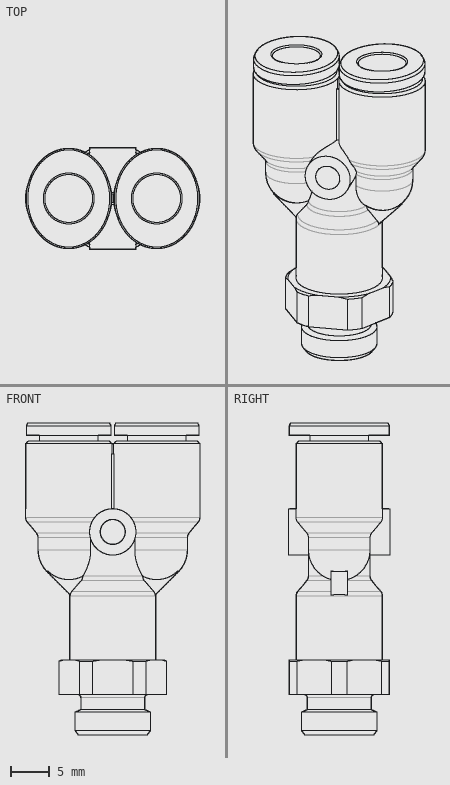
import cadquery as cq
import math


TOTAL_HEIGHT = 40.45
HEX_BOTTOM = 5.25
HEX_HEIGHT = 4.5
STEM_SHOULDER_START = 18.05
SPHERE_CENTRE_Z = 24.0
SOCKET_SHOULDER_START = 25.6
WEB_TOP = 36.4
SOCKET_TOP = 38.1
BOSS_Z = 26.32

BODY_RADIUS = 5.6
COLUMN_RADIUS = 4.0
THREAD_RADIUS = 4.9
THREAD_END_CHAMFER_WIDTH = 0.45
THREAD_END_CHAMFER_HEIGHT = 0.6
THREAD_TOP_CONE_HEIGHT = 0.36
THREAD_LENGTH = 3.33
RELIEF_RADIUS = 4.15
RELIEF_FILLET = 0.4

HEX_ACROSS_FLATS = 13.0
HEX_CORNER_RADIUS = 7.0
HEX_CHAMFER_WIDTH = 0.35
HEX_CHAMFER_HEIGHT = 0.2

SHOULDER_ANGLE = math.radians(40)
SHOULDER_BLEND = 0.9

OVERALL_WIDTH = 22.6
SOCKET_OFFSET = OVERALL_WIDTH / 2 - BODY_RADIUS
SOCKET_CHAMFER = 0.35
BORE_RADIUS = 3.1
BORE_CHAMFER = 0.2
BORE_DEPTH = 12.25

COLLAR_HALF_X = 5.5
COLLAR_HALF_Y = 6.5
COLLAR_HEIGHT = 1.62
COLLAR_CHAMFER_WIDTH = 0.2
COLLAR_CHAMFER_HEIGHT = 0.4
COLLAR_NECK_RADIUS = 3.8

BOSS_RADIUS = 3.0
BOSS_HOLE_RADIUS = 1.6
BOSS_LENGTH = 13.2
WEB_THICKNESS = 1.6
BRIDGE_THICKNESS = 1.1
RIB_THICKNESS = 2.1

BRIDGE_TOP = SOCKET_TOP - SOCKET_CHAMFER
HEX_TOP = HEX_BOTTOM + HEX_HEIGHT
COLLAR_BOTTOM = TOTAL_HEIGHT - COLLAR_HEIGHT


def add_shoulder(profile, r_start, r_end, z_start):
    """Extend a vertical profile line upward through a cone blended at both ends."""
    side = math.copysign(1, r_end - r_start)
    blend_dr = side * SHOULDER_BLEND * (1 - math.cos(SHOULDER_ANGLE))
    blend_dz = SHOULDER_BLEND * math.sin(SHOULDER_ANGLE)
    cone_dr = r_end - r_start - 2 * blend_dr
    cone_dz = abs(cone_dr) / math.tan(SHOULDER_ANGLE)
    z_cone = z_start + blend_dz
    return (
        profile.lineTo(r_start, z_start)
        .tangentArcPoint((r_start + blend_dr, z_cone), relative=False)
        .lineTo(r_end - blend_dr, z_cone + cone_dz)
        .tangentArcPoint((r_end, z_cone + cone_dz + blend_dz), relative=False)
    )


def revolve_about_z(profile):
    """Close a half profile drawn in XZ and turn it about the Z axis."""
    return profile.close().revolve(360, (0, 0, 0), (0, 1, 0))


def make_stem():
    """Thread, relief groove, main body, shoulder and central column."""
    profile = (
        cq.Workplane("XZ")
        .lineTo(THREAD_RADIUS - THREAD_END_CHAMFER_WIDTH, 0)
        .lineTo(THREAD_RADIUS, THREAD_END_CHAMFER_HEIGHT)
        .lineTo(THREAD_RADIUS, THREAD_LENGTH - THREAD_TOP_CONE_HEIGHT)
        .lineTo(RELIEF_RADIUS, THREAD_LENGTH)
        .lineTo(RELIEF_RADIUS, HEX_BOTTOM - RELIEF_FILLET)
        .tangentArcPoint((RELIEF_RADIUS + RELIEF_FILLET, HEX_BOTTOM), relative=False)
        .lineTo(BODY_RADIUS, HEX_BOTTOM)
    )
    profile = add_shoulder(profile, BODY_RADIUS, COLUMN_RADIUS, STEM_SHOULDER_START)
    profile = profile.lineTo(COLUMN_RADIUS, BOSS_Z).lineTo(0, BOSS_Z)
    return revolve_about_z(profile)


def make_hexagon():
    """Hexagon with a flat facing -Y, its corners turned round and chamfered on top."""
    across_corners = HEX_ACROSS_FLATS / math.cos(math.pi / 6)
    prism = cq.Workplane("XY").workplane(offset=HEX_BOTTOM).polygon(6, across_corners).extrude(HEX_HEIGHT)
    turned_blank = revolve_about_z(
        cq.Workplane("XZ")
        .moveTo(0, HEX_BOTTOM)
        .lineTo(HEX_CORNER_RADIUS, HEX_BOTTOM)
        .lineTo(HEX_CORNER_RADIUS, HEX_TOP - HEX_CHAMFER_HEIGHT)
        .lineTo(HEX_CORNER_RADIUS - HEX_CHAMFER_WIDTH, HEX_TOP)
        .lineTo(0, HEX_TOP)
    )
    return prism.intersect(turned_blank)


def make_socket():
    """Socket body with a domed lower end and the neck of the release collar."""
    dome_bottom = (0, SPHERE_CENTRE_Z - COLUMN_RADIUS)
    dome_middle = (
        COLUMN_RADIUS * math.sin(math.pi / 4),
        SPHERE_CENTRE_Z - COLUMN_RADIUS * math.cos(math.pi / 4),
    )
    profile = (
        cq.Workplane("XZ")
        .moveTo(*dome_bottom)
        .threePointArc(dome_middle, (COLUMN_RADIUS, SPHERE_CENTRE_Z))
    )
    profile = add_shoulder(profile, COLUMN_RADIUS, BODY_RADIUS, SOCKET_SHOULDER_START)
    profile = (
        profile.lineTo(BODY_RADIUS, SOCKET_TOP - SOCKET_CHAMFER)
        .lineTo(BODY_RADIUS - SOCKET_CHAMFER, SOCKET_TOP)
        .lineTo(COLLAR_NECK_RADIUS, SOCKET_TOP)
        .lineTo(COLLAR_NECK_RADIUS, COLLAR_BOTTOM)
        .lineTo(0, COLLAR_BOTTOM)
    )
    return revolve_about_z(profile)


def make_collar():
    """Oval collar chamfered around its top edge."""
    collar = (
        cq.Workplane("XY")
        .workplane(offset=COLLAR_BOTTOM)
        .ellipse(COLLAR_HALF_X, COLLAR_HALF_Y)
        .extrude(COLLAR_HEIGHT)
    )
    return collar.faces(">Z").edges().chamfer(COLLAR_CHAMFER_HEIGHT, COLLAR_CHAMFER_WIDTH)


def make_bore():
    """Blind tube bore with a chamfered mouth."""
    floor = TOTAL_HEIGHT - BORE_DEPTH
    return revolve_about_z(
        cq.Workplane("XZ")
        .moveTo(0, floor)
        .lineTo(BORE_RADIUS, floor)
        .lineTo(BORE_RADIUS, TOTAL_HEIGHT - BORE_CHAMFER)
        .lineTo(BORE_RADIUS + BORE_CHAMFER, TOTAL_HEIGHT)
        .lineTo(0, TOTAL_HEIGHT)
    )


def make_plate(outline, thickness):
    """Plate centred on the XZ plane; the outline is its +X half and is mirrored to -X."""
    mirrored = [(-x, z) for x, z in reversed(outline)]
    return cq.Workplane("XZ").polyline(outline + mirrored).close().extrude(thickness / 2, both=True)


def make_ribs():
    """Ribs whose 45 degree edges are tangent to the domes and end inside the stem."""
    tangent_shift = COLUMN_RADIUS * math.sin(math.pi / 4)
    rib_x = SOCKET_OFFSET + tangent_shift
    rib_z = SPHERE_CENTRE_Z - tangent_shift
    rib_foot_z = rib_z - (rib_x - COLUMN_RADIUS)
    outline = [
        (COLUMN_RADIUS, rib_foot_z),
        (rib_x, rib_z),
        (SOCKET_OFFSET, SPHERE_CENTRE_Z),
    ]
    return make_plate(outline, RIB_THICKNESS)


def make_web():
    """Web filling the gap between the socket bodies, with a thinner bridge at its top."""
    web = make_plate([(SOCKET_OFFSET, SPHERE_CENTRE_Z), (SOCKET_OFFSET, WEB_TOP)], WEB_THICKNESS)
    bridge = make_plate([(SOCKET_OFFSET, WEB_TOP), (SOCKET_OFFSET, BRIDGE_TOP)], BRIDGE_THICKNESS)
    return web.union(bridge)


def make_cross_cylinder(radius):
    """Cylinder along Y through the fork of the fitting."""
    return cq.Workplane("XZ").center(0, BOSS_Z).circle(radius).extrude(BOSS_LENGTH / 2, both=True)


result = make_stem()
for feature in (make_hexagon(), make_ribs(), make_web(), make_cross_cylinder(BOSS_RADIUS)):
    result = result.union(feature)

for socket_x in (-SOCKET_OFFSET, SOCKET_OFFSET):
    socket = make_socket().union(make_collar())
    result = result.union(socket.translate((socket_x, 0, 0)))
    result = result.cut(make_bore().translate((socket_x, 0, 0)))

result = result.cut(make_cross_cylinder(BOSS_HOLE_RADIUS))